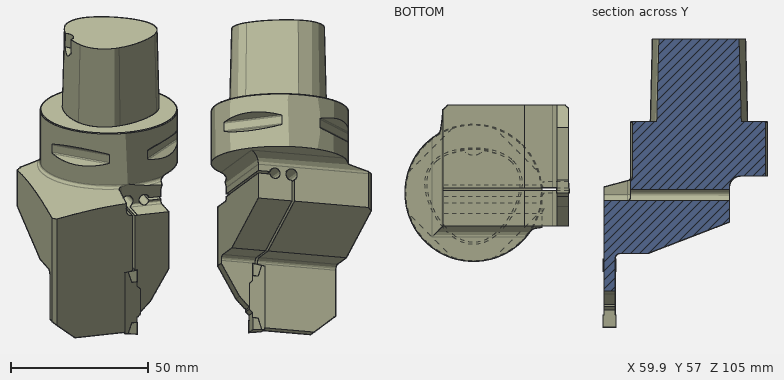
import cadquery as cq
import math

total_length = 105.0
shank_height = 30.0
shank_mean_radius = 17.6
shank_lobe_height = 1.2
shank_side_bulge = 0.1
shank_taper = 0.025
lobe_half_angle = 38
flange_radius = 50.0 / 2
flange_height = 20.0
flange_chamfer = 0.3

notch_radius = 4.2
notch_depth = 5.4
notch_axis_y = -17.8

groove_count = 4
first_groove_angle = 45
groove_mid_z = -flange_height / 2
groove_floor_distance = 22.0
groove_floor_width = 3.5
groove_flank_angle = 30
groove_floor_fillet = 0.5

head_left_x = -11.1
head_right_x = 34.6
head_front_y = -32.0
head_back_y = 12.1
head_fillet = 4.0
left_chamfer = 1.8
right_chamfer = 1.4
ramp_start_z = -36.6
ramp_end_x = 18.6
head_bottom_z = -48.1
neck_radius = 25.9
neck_end_z = -21.4
cone_slope_angle = 15

blade_thickness = 4.2
blade_fillet = 1.8
blade_bottom_z = -73.8
front_corner_y = -23.7
front_corner_z = -67.1
jaw_heel_z = -50.9
jaw_knee_y = 5.0
jaw_knee_z = -62.8
jaw_tip_z = -66.6

clearance_y = -4.1
clearance_floor_z = -28.8
clearance_wall_fillet = 0.9
clearance_side_fillet = 2.1

slit_width = 0.9
back_hole_diameter = 3.9
front_hole_diameter = 4.3
relief_hole_z = -26.8
back_hole_y = 5.7
front_hole_y = -0.7
jaw_slit_y = -1.4

insert_half_length = 12.5
insert_mid_z = shank_height - total_length + insert_half_length
insert_base_y = -4.7
insert_base_half_length = 11.9
insert_waist_y = 1.3
insert_waist_half_length = 4.8
insert_shoulder_half_length = 6.1
tip_overhang = 0.3
tip_outer_depth = 3.5
tip_inner_depth = 2.1
tip_inner_half_length = 7.9

blade_left_x = head_right_x - blade_thickness
blade_mid_x = head_right_x - blade_thickness / 2
far = 2 * flange_radius


def lobe_point(mean_radius, angle):
    """Point of the rounded-triangle curve whose outward normal has this angle (radians)."""
    phase = 3 * (angle - math.pi / 2)
    reach = mean_radius + shank_lobe_height * math.cos(phase) - shank_side_bulge * math.cos(2 * phase)
    slide = -3 * shank_lobe_height * math.sin(phase) + 6 * shank_side_bulge * math.sin(2 * phase)
    x = reach * math.cos(angle) - slide * math.sin(angle)
    y = reach * math.sin(angle) + slide * math.cos(angle)
    return x, y


def lobe_wire(mean_radius, z):
    """Closed three-lobed outline, split where each lobe meets the flatter sides."""
    breaks = []
    for lobe in range(3):
        axis = 90 + 120 * lobe
        breaks += [axis - lobe_half_angle, axis + lobe_half_angle]
    breaks.append(breaks[0] + 360)

    steps = 8
    edges = []
    for start, end in zip(breaks, breaks[1:]):
        angles = [math.radians(start + (end - start) * i / steps) for i in range(steps + 1)]
        points = [cq.Vector(*lobe_point(mean_radius, a), z) for a in angles]
        tangents = [cq.Vector(-math.sin(a), math.cos(a), 0) for a in (angles[0], angles[-1])]
        edges.append(cq.Edge.makeSpline(points, tangents=tangents))
    return cq.Wire.assembleEdges(edges)


def make_shank():
    top_radius = shank_mean_radius - shank_taper * shank_height
    wires = [lobe_wire(shank_mean_radius, 0), lobe_wire(top_radius, shank_height)]
    shank = cq.Workplane(cq.Solid.makeLoft(wires, True))
    return shank.cut(make_notch())


def make_notch():
    """Round notch with a 90 degree pointed bottom."""
    bottom_z = shank_height - notch_depth
    profile = [
        (0, shank_height),
        (notch_radius, shank_height),
        (notch_radius, bottom_z),
        (0, bottom_z - notch_radius),
    ]
    notch = cq.Workplane("XZ").polyline(profile).close().revolve(360, (0, 0), (0, 1))
    return notch.translate((0, notch_axis_y, 0))


def make_groove():
    """Straight trapezoidal groove across the +X side of the flange."""
    half_floor = groove_floor_width / 2
    half_mouth = half_floor + (far - groove_floor_distance) * math.tan(math.radians(groove_flank_angle))
    profile = [
        (groove_floor_distance, groove_mid_z - half_floor),
        (far, groove_mid_z - half_mouth),
        (far, groove_mid_z + half_mouth),
        (groove_floor_distance, groove_mid_z + half_floor),
    ]
    groove = cq.Workplane("XZ").polyline(profile).close().extrude(flange_radius, both=True)
    return groove.faces("<X").edges("|Y").fillet(groove_floor_fillet)


def make_flange():
    flange = cq.Workplane("XY").circle(flange_radius).extrude(-flange_height)
    flange = flange.faces(">Z").chamfer(flange_chamfer)
    for i in range(groove_count):
        angle = first_groove_angle + i * 360 / groove_count
        flange = flange.cut(make_groove().rotate((0, 0, 0), (0, 0, 1), angle))
    return flange


def make_flared_block():
    """Block with a concave flare where its left and back sides meet the flange underside."""
    margin = 4 * head_fillet
    width = head_right_x - head_left_x
    depth = head_back_y - head_front_y
    plate = cq.Workplane("XY", origin=(head_left_x - margin, head_front_y, -flange_height)).box(
        width + margin, depth + margin, margin, centered=False
    )
    block_top = cq.Workplane("XY", origin=(head_left_x, head_front_y, -flange_height))
    block = block_top.rect(width, depth, centered=False).extrude(blade_bottom_z + flange_height)
    left_edge = cq.selectors.NearestToPointSelector(
        (head_left_x, (head_front_y + head_back_y) / 2, -flange_height)
    )
    back_edge = cq.selectors.NearestToPointSelector(
        ((head_left_x + head_right_x) / 2, head_back_y, -flange_height)
    )
    flared = plate.union(block)
    return flared.edges(cq.selectors.SumSelector(left_edge, back_edge)).fillet(head_fillet)


def make_neck_envelope():
    """Turned limit of the head: a small concave neck, then a shallow cone falling outwards."""
    cone_end_z = neck_end_z - (far - neck_radius) * math.tan(math.radians(cone_slope_angle))
    neck_height = (neck_radius - flange_radius) / math.tan(math.radians(90 - cone_slope_angle) / 2)
    return (
        cq.Workplane("XZ")
        .moveTo(0, -flange_height)
        .lineTo(flange_radius, -flange_height)
        .lineTo(flange_radius, neck_end_z + neck_height)
        .tangentArcPoint((neck_radius, neck_end_z), relative=False)
        .lineTo(far, cone_end_z)
        .lineTo(far, blade_bottom_z)
        .lineTo(0, blade_bottom_z)
        .close()
        .revolve(360, (0, 0), (0, 1))
    )


def make_under_head_cut():
    """Space under the head: everything below the ramp, left of the blade."""
    outline = [
        (head_left_x - head_fillet, blade_bottom_z),
        (blade_left_x, blade_bottom_z),
        (blade_left_x, head_bottom_z),
        (ramp_end_x, head_bottom_z),
        (head_left_x, ramp_start_z),
        (head_left_x - head_fillet, ramp_start_z),
    ]
    cut = cq.Workplane("XZ").polyline(outline).close().extrude(far, both=True)
    blade_root = cq.selectors.NearestToPointSelector((blade_left_x, 0, head_bottom_z))
    return cut.edges(blade_root).fillet(blade_fillet)


def make_blade_side_outline():
    """Side shape of head and blade: clamp jaw at the back, cut-off corner at the front."""
    outline = [
        (head_back_y + head_fillet, -flange_height),
        (head_back_y + head_fillet, jaw_heel_z),
        (head_back_y, jaw_heel_z),
        (jaw_knee_y, jaw_knee_z),
        (insert_waist_y, jaw_tip_z),
        (insert_base_y, blade_bottom_z),
        (front_corner_y, blade_bottom_z),
        (head_front_y, front_corner_z),
        (head_front_y, -flange_height),
    ]
    return cq.Workplane("YZ").polyline(outline).close().extrude(far, both=True)


def make_corner_chamfer(corner_x, size):
    """Prism that removes a vertical front corner of the head, 45 degrees."""
    diamond = [
        (corner_x - size, head_front_y),
        (corner_x, head_front_y + size),
        (corner_x + size, head_front_y),
        (corner_x, head_front_y - size),
    ]
    return cq.Workplane("XY").polyline(diamond).close().extrude(blade_bottom_z)


def make_clearance():
    """Pocket that lowers the top of the head beside the flange, open to the back and right."""
    pocket = cq.Workplane("XY", origin=(flange_radius, clearance_y, clearance_floor_z)).box(
        far, far, -clearance_floor_z, centered=False
    )
    pocket = pocket.edges("|X").edges("<Y and <Z").fillet(clearance_side_fillet)
    return pocket.faces("<X").edges("<Z").fillet(clearance_wall_fillet)


def make_head():
    head = make_flared_block().intersect(make_neck_envelope())
    head = head.cut(make_under_head_cut())
    head = head.intersect(make_blade_side_outline())
    head = head.cut(make_corner_chamfer(head_left_x, left_chamfer))
    head = head.cut(make_corner_chamfer(head_right_x, right_chamfer))
    return head.cut(make_clearance())


def make_jaw_cuts():
    """Two relief holes, the slit from one down to the insert and from the other out to the back."""
    back_hole = cq.Workplane("YZ").center(back_hole_y, relief_hole_z).circle(back_hole_diameter / 2)
    front_hole = cq.Workplane("YZ").center(front_hole_y, relief_hole_z).circle(front_hole_diameter / 2)
    down_length = relief_hole_z - insert_mid_z
    down_slit = cq.Workplane("YZ").center(jaw_slit_y, relief_hole_z - down_length / 2)
    back_length = head_back_y - back_hole_y
    back_slit = cq.Workplane("YZ").center(back_hole_y + back_length / 2, relief_hole_z)
    return (
        back_hole.extrude(far, both=True)
        .union(front_hole.extrude(far, both=True))
        .union(down_slit.rect(slit_width, down_length).extrude(far, both=True))
        .union(back_slit.rect(back_length, slit_width).extrude(far, both=True))
    )


def extrude_about_blade(outline, thickness):
    """Plate of a side outline (Y, height above insert middle), centred on the blade thickness."""
    plane = cq.Workplane("YZ", origin=(blade_mid_x, 0, insert_mid_z))
    return plane.polyline(outline).close().extrude(thickness / 2, both=True)


def make_tip_wedge():
    """Tapered thickness of the cutting tips, widest at the cutting face (Y 0)."""
    half_root = blade_thickness / 2
    half_face = half_root + tip_overhang
    trapezoid = [
        (blade_mid_x - half_face, 0),
        (blade_mid_x + half_face, 0),
        (blade_mid_x + half_root, -tip_outer_depth),
        (blade_mid_x - half_root, -tip_outer_depth),
    ]
    wedge = cq.Workplane("XY", origin=(0, 0, insert_mid_z)).polyline(trapezoid).close()
    return wedge.extrude(insert_half_length, both=True)


def make_insert():
    upper = [
        (insert_base_y, insert_base_half_length),
        (0, insert_half_length),
        (0, insert_shoulder_half_length),
        (insert_waist_y, insert_waist_half_length),
    ]
    lower = [(y, -height) for y, height in reversed(upper)]
    insert = extrude_about_blade(upper + lower, blade_thickness)

    end_slope = (insert_half_length - insert_base_half_length) / insert_base_y
    tip = [
        (0, insert_half_length),
        (-tip_outer_depth, insert_half_length + end_slope * tip_outer_depth),
        (-tip_inner_depth, tip_inner_half_length),
        (0, tip_inner_half_length),
    ]
    wedge = make_tip_wedge()
    for side in (1, -1):
        outline = [(y, side * height) for y, height in tip]
        insert = insert.union(extrude_about_blade(outline, 2 * blade_thickness).intersect(wedge))
    return insert


insert = make_insert()
holder = make_shank().union(make_flange()).union(make_head())
holder = holder.cut(make_jaw_cuts()).cut(insert)

result = cq.Compound.makeCompound([holder.val(), insert.val()])